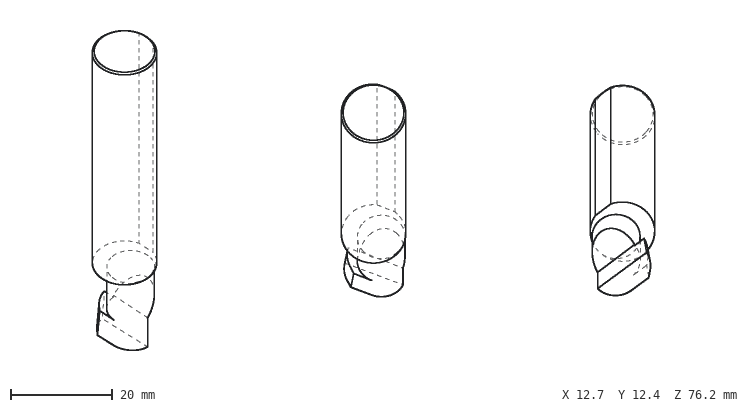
import cadquery as cq
import math

total_length = 76.2
shank_diameter = 12.7
shank_chamfer = 0.4
shank_width = 12.4
neck_diameter = 9.45
neck_length = 19.05

head_height = 7.85
tip_reach = 6.2
side_relief_angle = 5.0
end_relief_angle = 8.0
end_edge_angle = 2.0
flank_end = (-4.35, -3.4)
flank_bulge = 0.3
heel_x = -2.9

ramp_start = 8.3
ramp_angle = 45.0

shank_radius = shank_diameter / 2
neck_radius = neck_diameter / 2
flat_y = shank_width - shank_radius
neck_x = shank_radius - neck_radius
overcut = 2 * shank_diameter


def make_shank():
    shank = cq.Workplane("XY", origin=(0, 0, neck_length)).circle(shank_radius)
    shank = shank.extrude(total_length - neck_length)
    shank = shank.faces(">Z").chamfer(shank_chamfer)
    flat_cutter = cq.Workplane("XY").box(overcut, overcut, total_length, centered=(True, False, False))
    return shank.cut(flat_cutter.translate((0, flat_y, 0)))


def make_neck():
    return cq.Workplane("XY").center(neck_x, 0).circle(neck_radius).extrude(neck_length)


def head_profile(shift):
    """Closed outline of the head, with its flanks shifted along X."""
    chord_x = flank_end[0] + tip_reach
    chord_y = flank_end[1]
    chord = math.hypot(chord_x, chord_y)
    bulge_x = -tip_reach + chord_x / 2 + flank_bulge * chord_y / chord
    bulge_y = chord_y / 2 - flank_bulge * chord_x / chord
    return (
        cq.Workplane("XY")
        .moveTo(-tip_reach + shift, 0)
        .threePointArc((bulge_x + shift, bulge_y), (flank_end[0] + shift, flank_end[1]))
        .lineTo(heel_x + shift, -neck_radius)
        .lineTo(neck_x, -neck_radius)
        .lineTo(neck_x, 0)
        .close()
    )


def make_head():
    lean = head_height * math.tan(math.radians(side_relief_angle))
    bottom = head_profile(0).val()
    top = head_profile(lean).val().moved(cq.Location(cq.Vector(0, 0, head_height)))
    return cq.Workplane(cq.Solid.makeLoft([bottom, top], True))


def rake_cutter():
    """Space in front of the rake face, closed above by the clearance ramp."""
    ramp_rise = overcut * math.tan(math.radians(ramp_angle))
    return (
        cq.Workplane("YZ")
        .polyline([(0, -overcut), (0, ramp_start), (overcut, ramp_start + ramp_rise), (overcut, -overcut)])
        .close()
        .extrude(overcut, both=True)
        .intersect(cq.Workplane("XY").box(2 * overcut, 2 * overcut, 2 * neck_length))
    )


def end_cutter():
    """Space below the end face, which rises from the cutting corner toward +X and -Y."""
    return (
        cq.Workplane("XY")
        .box(2 * overcut, 2 * overcut, overcut, centered=(True, True, False))
        .translate((0, 0, -overcut))
        .rotate((0, 0, 0), (1, 0, 0), -end_relief_angle)
        .rotate((0, 0, 0), (0, 1, 0), -end_edge_angle)
        .translate((-tip_reach, 0, 0))
    )


result = make_shank().union(make_neck()).union(make_head()).cut(rake_cutter()).cut(end_cutter())